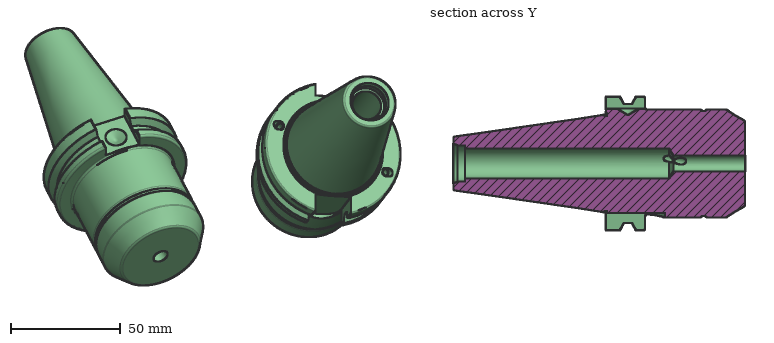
import cadquery as cq
import math

length = 132.8
taper_end = 68.2
flange_start = 69.3
flange_end = 87.2
flange_width = flange_end - flange_start
nose_start = 124.0

taper_ratio = 7 / 24
taper_large_radius = 22.24
taper_small_radius = taper_large_radius - taper_end * taper_ratio / 2
taper_edge_fillet = 0.9
neck_radius = 43.8 / 2

undercut_lead = 0.3
undercut_depth = 0.5
undercut_neck_radius = neck_radius - 0.3
undercut_floor_radius = 22.6
undercut_rim_radius = 23.4

flange_radius = 63.5 / 2
flange_front_fillet = 0.8
flange_rear_fillet = 1.0
vee_centre = 79.4
vee_floor_radius = 28.3
vee_floor_width = 3.7
vee_half_angle = 28.0

slot_width = 16.5
slot_edge_chamfer = 0.4
upper_slot_floor = 25.0
lower_slot_floor = 22.6
lower_slot_overrun = 0.8
dimple_diameter = 9.5
dimple_tip_angle = 118.0

body_radius = 49.3 / 2
body_fillet = 0.9
ring_groove_centre = 113.8
ring_groove_floor_width = 1.6
ring_groove_radius = 48.2 / 2
ring_groove_wall_angle = 45.0
ring_groove_rim_fillet = 1.0
nose_angle = 31.0
nose_shoulder_fillet = 0.8
nose_edge_fillet = 1.3

mouth_diameter = 17.9
mouth_taper_depth = 2.0
pilot_diameter = 16.3
pilot_depth = 5.3
chamber_diameter = 13.4
chamber_depth = 98.1
chamber_tip_angle = 118.0
through_diameter = 6.9

port_diameter = 4.0
port_depth = 1.5
port_pitch_radius = 27.1
port_turn = 20.0
channel_diameter = 3.2
channel_slope = 35.0
channel_end_radius = 2.0


def revolve_about_axis(outline):
    return outline.close().revolve(360, (0, 0, 0), (1, 0, 0))


def round_ring_edge(part, station, radius):
    """Round the turned edges whose centres lie on the axis at the station."""
    reach = 0.01
    near_corner = (station - reach, -reach, -reach)
    far_corner = (station + reach, reach, reach)
    return part.edges(cq.selectors.BoxSelector(near_corner, far_corner)).fillet(radius)


def make_shank_and_body():
    """Turned outside of the part, before its two ring grooves are cut."""
    nose_radius = body_radius - (length - nose_start) * math.tan(math.radians(nose_angle))
    outline = (
        cq.Workplane("XY")
        .lineTo(0, taper_small_radius)
        .lineTo(taper_end, taper_large_radius)
        .lineTo(taper_end, neck_radius)
        .lineTo(flange_start - undercut_lead, neck_radius)
        .lineTo(flange_start + undercut_depth, undercut_neck_radius)
        .lineTo(flange_start + undercut_depth, undercut_floor_radius)
        .lineTo(flange_start, undercut_rim_radius)
        .lineTo(flange_start, flange_radius - flange_front_fillet)
        .radiusArc((flange_start + flange_front_fillet, flange_radius), flange_front_fillet)
        .lineTo(flange_end - flange_rear_fillet, flange_radius)
        .radiusArc((flange_end, flange_radius - flange_rear_fillet), flange_rear_fillet)
        .lineTo(flange_end, body_radius + body_fillet)
        .radiusArc((flange_end + body_fillet, body_radius), -body_fillet)
        .lineTo(nose_start, body_radius)
        .lineTo(length, nose_radius)
        .lineTo(length, 0)
    )
    turned = revolve_about_axis(outline)
    turned = round_ring_edge(turned, 0, taper_edge_fillet)
    turned = round_ring_edge(turned, nose_start, nose_shoulder_fillet)
    return round_ring_edge(turned, length, nose_edge_fillet)


def ring_cut(centre, floor_width, floor_radius, rim_radius, wall_angle):
    """Ring groove whose walls lean outward by wall_angle from square."""
    spread = (rim_radius - floor_radius) * math.tan(math.radians(wall_angle))
    half_floor = floor_width / 2
    half_rim = half_floor + spread
    outline = (
        cq.Workplane("XY")
        .moveTo(centre - half_floor, floor_radius)
        .lineTo(centre - half_rim, rim_radius)
        .lineTo(centre + half_rim, rim_radius)
        .lineTo(centre + half_floor, floor_radius)
    )
    return revolve_about_axis(outline)


def cut_vee_groove(part):
    """V groove around the flange."""
    return part.cut(
        ring_cut(vee_centre, vee_floor_width, vee_floor_radius, flange_radius, vee_half_angle)
    )


def cut_body_groove(part):
    """Shallow ring groove around the body, with rounded rims."""
    part = part.cut(
        ring_cut(
            ring_groove_centre,
            ring_groove_floor_width,
            ring_groove_radius,
            body_radius,
            ring_groove_wall_angle,
        )
    )
    groove_depth = body_radius - ring_groove_radius
    half_rim = ring_groove_floor_width / 2 + groove_depth * math.tan(math.radians(ring_groove_wall_angle))
    for side in (-1, 1):
        part = round_ring_edge(part, ring_groove_centre + side * half_rim, ring_groove_rim_fillet)
    return part


def slot_edge_cut():
    """Wedge that chamfers the outer edges of both drive slots."""
    chamfer_foot = math.sqrt(flange_radius**2 - (slot_width / 2) ** 2) - slot_edge_chamfer
    half_spread = slot_width / 2 + flange_radius - chamfer_foot
    upper = (
        cq.Workplane("YZ", origin=(flange_start, 0, 0))
        .moveTo(-slot_width / 2, chamfer_foot)
        .lineTo(-half_spread, flange_radius)
        .lineTo(half_spread, flange_radius)
        .lineTo(slot_width / 2, chamfer_foot)
        .close()
        .extrude(flange_width)
    )
    return upper.union(upper.mirror("XY"))


def upper_slot_cut():
    """Slot across the flange with a conical dimple in its floor."""
    slot = cq.Workplane("XY").box(
        flange_width, slot_width, flange_radius, centered=(False, True, False)
    ).translate((flange_start, 0, upper_slot_floor))
    radius = dimple_diameter / 2
    depth = radius / math.tan(math.radians(dimple_tip_angle / 2))
    dimple = cq.Solid.makeCone(
        radius, 0, depth, cq.Vector(vee_centre, 0, upper_slot_floor), cq.Vector(0, 0, -1)
    )
    return slot.union(cq.Workplane(dimple))


def lower_slot_cut():
    """Deeper slot that runs out into the body with a round end."""
    half_width = slot_width / 2
    arc_start = flange_end + lower_slot_overrun
    return (
        cq.Workplane("XY", origin=(0, 0, -lower_slot_floor))
        .moveTo(flange_start, -half_width)
        .lineTo(arc_start, -half_width)
        .threePointArc((arc_start + half_width, 0), (arc_start, half_width))
        .lineTo(flange_start, half_width)
        .close()
        .extrude(-flange_radius)
    )


def bore_cut():
    """Stepped bore with a conical chamber end and a central through hole."""
    chamber_radius = chamber_diameter / 2
    through_radius = through_diameter / 2
    tip_depth = (chamber_radius - through_radius) / math.tan(math.radians(chamber_tip_angle / 2))
    outline = (
        cq.Workplane("XY")
        .lineTo(0, mouth_diameter / 2)
        .lineTo(mouth_taper_depth, pilot_diameter / 2)
        .lineTo(pilot_depth, pilot_diameter / 2)
        .lineTo(pilot_depth, chamber_radius)
        .lineTo(chamber_depth, chamber_radius)
        .lineTo(chamber_depth + tip_depth, through_radius)
        .lineTo(length, through_radius)
        .lineTo(length, 0)
    )
    return revolve_about_axis(outline)


def coolant_cut():
    """One port and its narrower channel on a common sloping axis, on the +Y side."""
    slope = math.radians(channel_slope)
    direction = cq.Vector(math.cos(slope), -math.sin(slope), 0)
    mouth = cq.Vector(flange_start, port_pitch_radius, 0)
    lead_in = port_diameter
    port = cq.Solid.makeCylinder(
        port_diameter / 2, lead_in + port_depth, mouth - direction * lead_in, direction
    )
    channel_length = (port_pitch_radius - channel_end_radius) / math.sin(slope)
    channel = cq.Solid.makeCylinder(channel_diameter / 2, channel_length, mouth, direction)
    return cq.Workplane(port).union(cq.Workplane(channel))


result = make_shank_and_body()
result = cut_vee_groove(result)
result = cut_body_groove(result)
result = result.cut(upper_slot_cut()).cut(lower_slot_cut()).cut(slot_edge_cut())
result = result.cut(bore_cut())
for half_turn in (0, 180):
    result = result.cut(coolant_cut().rotate((0, 0, 0), (1, 0, 0), port_turn + half_turn))